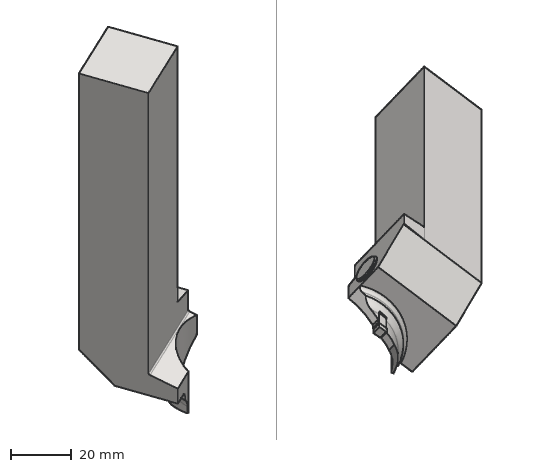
import cadquery as cq

total_height = 151.4
shank_size = 24.8

head_right = 35.3
head_back = 33.8
head_bottom = 17.1
bevel_top = 28.8
bevel_end_x = 12.9
side_ledge_root_z = 26.5
side_ledge_tip_z = 23.8
side_root_radius = 0.6
back_ledge_root_z = 37.8
back_ledge_tip_z = 35.5

head_flare = 0.3

arc_center_y = 24.8
clearance_radius = 17.5
clearance_center_x = 43.1

blade_axis_x = 40.4
blade_radius = 17.5
collar_radius = 19.4
flare_radius = 20.6
blade_flare_z = 9.2
collar_bottom = 13.5
collar_top = 15.3
blade_bottom = 1.0
blade_heel_y = 16.5
blade_front_y = 8.0
blade_front_z = 6.0
blade_back_y = 25.3
blade_back_low_z = 2.7
blade_back_high_z = 5.0

screw_diameter = 10.0
screw_x = 18.3
screw_z = 23.5
screw_height = 0.9
screw_chamfer = 0.5

insert_left = 22.7
insert_right = 25.7
insert_front = 21.5
insert_back = 24.8
insert_top = 10.9
insert_tip_height = 2.9
insert_neck_relief = 0.5
insert_clearance_rise = 0.3
insert_edge_chamfer = 0.5


def box_between(x0, x1, y0, y1, z0, z1):
    return cq.Workplane("XY").box(x1 - x0, y1 - y0, z1 - z0, centered=False).translate((x0, y0, z0))


def make_shank_and_head():
    """Intersect the front and side outlines of the holder, then add the left flare."""
    front_outline = (
        cq.Workplane("XZ")
        .moveTo(0, total_height)
        .lineTo(shank_size, total_height)
        .lineTo(shank_size, side_ledge_root_z)
        .lineTo(head_right, side_ledge_tip_z)
        .lineTo(head_right, head_bottom)
        .lineTo(bevel_end_x, head_bottom)
        .lineTo(0, bevel_top)
        .close()
        .extrude(-head_back)
    )
    root_point = (shank_size, head_back / 2, side_ledge_root_z)
    front_outline = front_outline.edges(cq.NearestToPointSelector(root_point)).fillet(side_root_radius)
    side_outline = (
        cq.Workplane("YZ")
        .moveTo(0, head_bottom)
        .lineTo(head_back, head_bottom)
        .lineTo(head_back, back_ledge_tip_z)
        .lineTo(shank_size, back_ledge_root_z)
        .lineTo(shank_size, total_height)
        .lineTo(0, total_height)
        .close()
        .extrude(head_right)
    )
    flare = (
        cq.Workplane("XY", origin=(0, 0, bevel_top))
        .moveTo(0, shank_size)
        .lineTo(0, head_back)
        .lineTo(-head_flare, head_back)
        .close()
        .extrude(back_ledge_root_z - bevel_top)
        .intersect(side_outline.translate((-head_flare, 0, 0)))
    )
    return front_outline.intersect(side_outline).union(flare)


def make_blade():
    """Turn the stepped blade about its vertical axis and trim it to its side outline."""
    turned = (
        cq.Workplane("XZ")
        .lineTo(blade_radius, 0)
        .lineTo(blade_radius, blade_flare_z)
        .tangentArcPoint((collar_radius, collar_bottom), relative=False)
        .lineTo(collar_radius, collar_top)
        .tangentArcPoint((flare_radius, head_bottom), relative=False)
        .lineTo(0, head_bottom)
        .close()
        .revolve(360, (0, 0, 0), (0, 1, 0))
        .translate((blade_axis_x, arc_center_y, 0))
    )
    side_outline = (
        cq.Workplane("YZ")
        .moveTo(0, head_bottom)
        .lineTo(0, blade_front_z)
        .lineTo(blade_front_y, blade_front_z)
        .lineTo(blade_heel_y, blade_bottom)
        .lineTo(insert_back, blade_bottom)
        .lineTo(insert_back, blade_back_low_z)
        .lineTo(blade_back_y, blade_back_low_z)
        .lineTo(blade_back_y, blade_back_high_z)
        .lineTo(head_back, head_bottom)
        .close()
        .extrude(head_right)
    )
    return turned.intersect(side_outline)


def make_clearance():
    return (
        cq.Workplane("XY")
        .center(clearance_center_x, arc_center_y)
        .circle(clearance_radius)
        .extrude(back_ledge_root_z)
    )


def make_screw_head():
    return (
        cq.Workplane("XZ", origin=(screw_x, head_back, screw_z))
        .circle(screw_diameter / 2)
        .extrude(-screw_height)
        .faces(">Y")
        .chamfer(screw_chamfer)
    )


def make_holder():
    """Holder with its blade; the insert seat is open to the left of the blade."""
    seat = box_between(0, insert_right, insert_front, insert_back, 0, insert_top)
    return (
        make_shank_and_head()
        .union(make_blade())
        .cut(make_clearance())
        .cut(seat)
        .union(make_screw_head())
    )


def make_insert():
    """Upright insert with a wider cutting tip and a relieved end face."""
    neck_left = insert_left + insert_neck_relief
    neck = box_between(neck_left, insert_right, insert_front, insert_back, insert_tip_height, insert_top)
    tip = (
        cq.Workplane("YZ", origin=(insert_left, 0, 0))
        .moveTo(insert_back, 0)
        .lineTo(insert_back, insert_tip_height)
        .lineTo(insert_front, insert_tip_height)
        .lineTo(insert_front, insert_clearance_rise)
        .close()
        .extrude(insert_right - insert_left)
        .edges("|X and <Y")
        .edges("<Z")
        .chamfer(insert_edge_chamfer)
    )
    return neck.union(tip)


holder = make_holder()
insert = make_insert()
result = cq.Compound.makeCompound([holder.val(), insert.val()])